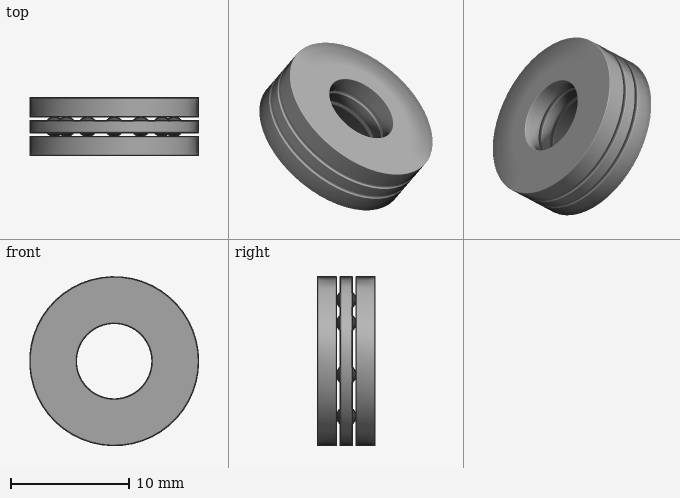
import cadquery as cq
import math

outer_diameter = 14.29
bore_diameter = 6.37
overall_width = 4.9
ball_diameter = 1.65
cage_width = 1.03
edge_fillet = 0.06
ball_count = 7
pitch_radius = 5.17

washer_width = (overall_width - ball_diameter) / 2
washer_offset = (ball_diameter + washer_width) / 2


def make_ring(width, center_y):
    """Flat ring around Y, centred at center_y, with all four circular edges rounded."""
    return (
        cq.Workplane("XZ")
        .circle(outer_diameter / 2)
        .circle(bore_diameter / 2)
        .extrude(width)
        .edges("%CIRCLE")
        .fillet(edge_fillet)
        .translate((0, center_y + width / 2, 0))
    )


def make_ball(index):
    """One ball on the pitch circle; the first ball is at the top (+Z)."""
    angle = 2 * math.pi * index / ball_count
    center = (pitch_radius * math.sin(angle), 0, pitch_radius * math.cos(angle))
    return cq.Workplane("XY").sphere(ball_diameter / 2).translate(center)


def make_cage(balls):
    """Middle ring with a spherical pocket that fits around each ball."""
    cage = make_ring(cage_width, 0)
    for ball in balls:
        cage = cage.cut(ball)
    return cage


washers = [make_ring(washer_width, side * washer_offset) for side in (-1, 1)]
balls = [make_ball(index) for index in range(ball_count)]
cage = make_cage(balls)

result = cq.Compound.makeCompound(
    [
        *[washer.val() for washer in washers],
        *cage.solids().vals(),
        *[ball.val() for ball in balls],
    ]
)